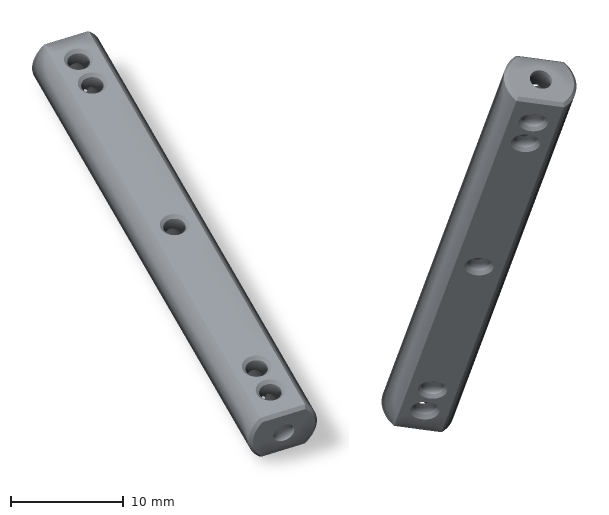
import cadquery as cq

length = 50.0
rod_diameter = 6.6
thickness = 5.0
end_chamfer = 0.3
bore_diameter = 2.0
hole_diameter = 2.0
countersink_diameter = 2.6
inner_hole_x = 18.75
outer_hole_x = 21.9

cross_hole_positions = [-outer_hole_x, -inner_hole_x, 0, inner_hole_x, outer_hole_x]


def make_rod():
    """Round bar along X with flats on top and bottom and chamfered ends."""
    bar = cq.Workplane("YZ").circle(rod_diameter / 2).extrude(length / 2, both=True)
    envelope = cq.Workplane("XY").box(length, rod_diameter, thickness)
    return bar.intersect(envelope).faces("<X or >X").chamfer(end_chamfer)


def make_cross_hole(x):
    """Cutter for a vertical through hole with a 45 degree countersink at each flat."""
    hole_radius = hole_diameter / 2
    sink_radius = countersink_diameter / 2
    sink_depth = sink_radius - hole_radius
    half = thickness / 2
    return (
        cq.Workplane("XZ")
        .moveTo(0, -half)
        .lineTo(sink_radius, -half)
        .lineTo(hole_radius, -half + sink_depth)
        .lineTo(hole_radius, half - sink_depth)
        .lineTo(sink_radius, half)
        .lineTo(0, half)
        .close()
        .revolve(360, (0, 0, 0), (0, 1, 0))
        .translate((x, 0, 0))
    )


bore = cq.Workplane("YZ").circle(bore_diameter / 2).extrude(length / 2, both=True)

result = make_rod().cut(bore)
for hole_x in cross_hole_positions:
    result = result.cut(make_cross_hole(hole_x))